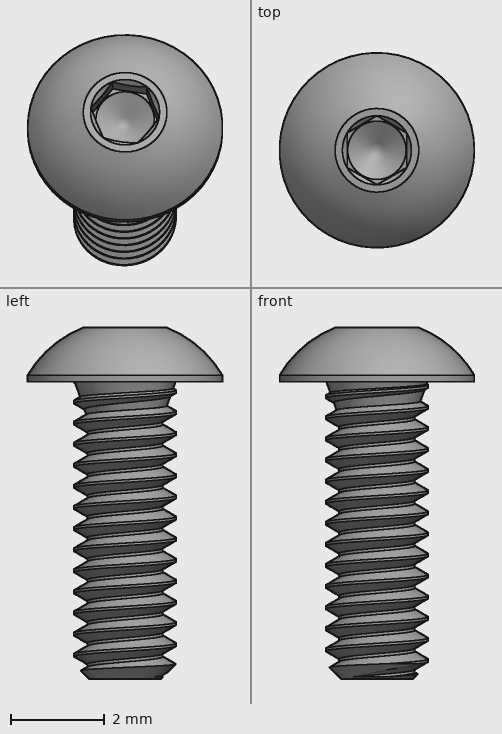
import cadquery as cq
import math

total_length = 7.52

head_radius = 4.17 / 2
head_height = 1.165
rim_height = 0.14
head_flat_radius = 0.895
head_bottom = total_length - head_height
rim_top = head_bottom + rim_height

socket_across_flats = 1.28
socket_depth = 0.49
drill_radius = 0.625
drill_point_angle = 118.0
socket_corner_radius = socket_across_flats / math.sqrt(3)
socket_floor = total_length - socket_depth

thread_radius = 1.1
root_radius = 0.81
pitch = 0.45
crest_width = pitch / 8
flank_half_angle = 30.0
crest_height = total_length - 1.71
root_overlap = 0.02
spare_turns = 2

neck_radius = 1.08
neck_length = 0.75
end_radius = 0.77


def revolve_about_axis(profile):
    """Revolve a closed (radius, Z) profile about the Z axis."""
    return profile.close().revolve(360, (0, 0, 0), (0, 1, 0))


def make_head():
    drop = total_length - rim_top
    centre_depth = (head_radius**2 + drop**2 - head_flat_radius**2) / (2 * drop)
    sphere_radius = math.hypot(head_flat_radius, centre_depth)
    middle_radius = (head_flat_radius + head_radius) / 2
    middle_height = total_length - centre_depth + math.sqrt(sphere_radius**2 - middle_radius**2)
    profile = (
        cq.Workplane("XZ")
        .moveTo(0, head_bottom)
        .lineTo(head_radius, head_bottom)
        .lineTo(head_radius, rim_top)
        .threePointArc((middle_radius, middle_height), (head_flat_radius, total_length))
        .lineTo(0, total_length)
    )
    return revolve_about_axis(profile)


def make_neck():
    profile = cq.Workplane("XZ").polyline([
        (0, head_bottom - neck_length),
        (root_radius, head_bottom - neck_length),
        (neck_radius, head_bottom),
        (0, head_bottom),
    ])
    return revolve_about_axis(profile)


def make_threaded_shank():
    """Wind one helical ridge around an overlong core, then trim both to length and chamfer the end."""
    base_radius = root_radius - root_overlap
    half_crest = crest_width / 2
    half_base = half_crest + (thread_radius - base_radius) * math.tan(math.radians(flank_half_angle))

    turns_below = math.ceil(crest_height / pitch) + 1
    start_height = crest_height - turns_below * pitch
    turns = math.ceil((head_bottom - start_height) / pitch) + 1
    helix = cq.Wire.makeHelix(pitch, turns * pitch, root_radius).translate(cq.Vector(0, 0, start_height))
    ridge = (
        cq.Workplane("XZ")
        .polyline([
            (base_radius, start_height - half_base),
            (thread_radius, start_height - half_crest),
            (thread_radius, start_height + half_crest),
            (base_radius, start_height + half_base),
        ])
        .close()
        .sweep(cq.Workplane(obj=helix), isFrenet=True)
    )

    core_bottom = start_height - spare_turns * pitch
    core_length = (turns + 2 * spare_turns) * pitch
    core = cq.Workplane("XY", origin=(0, 0, core_bottom)).circle(root_radius).extrude(core_length)

    trim_radius = thread_radius + pitch
    trim = revolve_about_axis(cq.Workplane("XZ").polyline([
        (0, 0),
        (end_radius, 0),
        (trim_radius, trim_radius - end_radius),
        (trim_radius, head_bottom),
        (0, head_bottom),
    ]))
    return core.union(ridge).intersect(trim)


def make_socket():
    hexagon = (
        cq.Workplane("XY", origin=(0, 0, socket_floor))
        .transformed(rotate=(0, 0, 90))
        .polygon(6, 2 * socket_corner_radius)
        .extrude(socket_depth)
    )
    drill_tip = socket_floor - drill_radius / math.tan(math.radians(drill_point_angle / 2))
    drill_point = revolve_about_axis(cq.Workplane("XZ").polyline([
        (0, drill_tip),
        (drill_radius, socket_floor),
        (0, socket_floor),
    ]))
    countersink = revolve_about_axis(cq.Workplane("XZ").polyline([
        (0, total_length - socket_corner_radius),
        (socket_corner_radius, total_length),
        (0, total_length),
    ]))
    return hexagon.union(drill_point).union(countersink)


result = make_threaded_shank().union(make_neck()).union(make_head()).cut(make_socket())